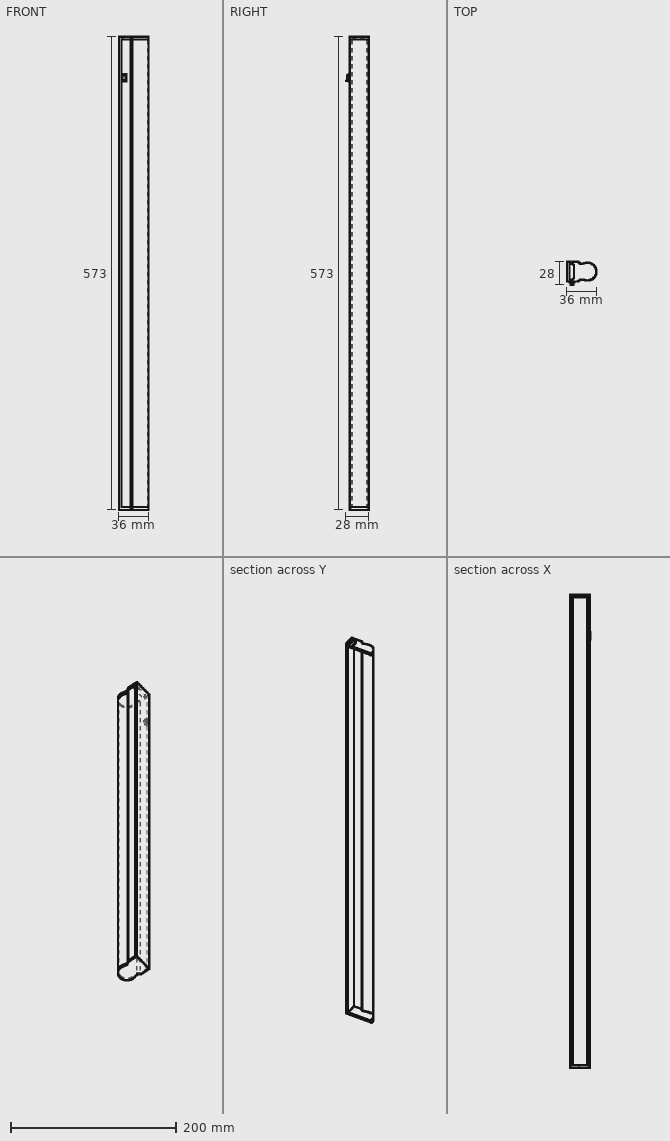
import cadquery as cq


lamp_length = 573.0
lamp_depth = 36.0
cap_thickness = 3.5

channel_width = 24.0
channel_depth = 14.0
back_wall = 3.5
side_wall = 0.6

nose_radius = 11.0
nose_center_x = lamp_depth - nose_radius
neck_start_x = 16.8
neck_half_width = 9.5
cover_wall = 1.0

socket_center_x = 6.0
socket_width_x = 5.2
socket_width_y = 19.0
socket_depth = 1.5
socket_corner = 1.7

switch_center_x = 6.3
switch_center_z = 523.0
switch_frame_width = 5.6
switch_frame_height = 9.0
switch_frame_thickness = 1.0
rocker_width = 3.6
rocker_height = 8.0
rocker_rise = 2.6
rocker_tip_rise = 4.0
rocker_tip_height = 0.4
rocker_ramp = 1.0

channel_side_y = channel_width / 2


def cover_outline(inset, start_z):
    """Cover cross-section, closed along the channel mouth, moved inwards by inset."""
    shoulder_y = channel_side_y - inset
    neck_y = neck_half_width - inset
    nose_y = nose_radius - inset
    return (
        cq.Workplane("XY", origin=(0, 0, start_z))
        .moveTo(channel_depth, -shoulder_y)
        .lineTo(neck_start_x, -neck_y)
        .lineTo(nose_center_x, -nose_y)
        .threePointArc((nose_center_x + nose_y, 0), (nose_center_x, nose_y))
        .lineTo(neck_start_x, neck_y)
        .lineTo(channel_depth, shoulder_y)
        .close()
    )


def box_from_back(start_x, end_x, width, start_z, height):
    """Block centred on Y = 0 between two X positions."""
    return (
        cq.Workplane("XY", origin=(start_x, 0, start_z))
        .box(end_x - start_x, width, height, centered=(False, True, False))
    )


def make_channel():
    """Channel block with closed ends, hollowed from the side facing the cover."""
    block = box_from_back(0, channel_depth, channel_width, 0, lamp_length)
    cavity = box_from_back(
        back_wall,
        channel_depth,
        channel_width - 2 * side_wall,
        cap_thickness,
        lamp_length - 2 * cap_thickness,
    )
    return block.cut(cavity)


def make_socket():
    """Cutter for the socket recess, with chamfered corners on the cover side."""
    return (
        cq.Workplane("XY", origin=(socket_center_x, 0, lamp_length - socket_depth))
        .box(socket_width_x, socket_width_y, socket_depth, centered=(True, True, False))
        .edges("|Z and >X")
        .chamfer(socket_corner)
    )


def make_switch():
    """Raised frame carrying a rocker that tips outwards at its lower end."""
    frame = cq.Workplane(
        "XY", origin=(switch_center_x, -channel_side_y - switch_frame_thickness / 2, switch_center_z)
    ).box(switch_frame_width, switch_frame_thickness, switch_frame_height)
    low_z = switch_center_z - rocker_height / 2
    high_z = switch_center_z + rocker_height / 2
    face_y = -channel_side_y - rocker_rise
    tip_y = -channel_side_y - rocker_tip_rise
    rocker = (
        cq.Workplane("YZ", origin=(switch_center_x, 0, 0))
        .polyline([
            (-channel_side_y, low_z),
            (tip_y, low_z),
            (tip_y, low_z + rocker_tip_height),
            (face_y, low_z + rocker_tip_height + rocker_ramp),
            (face_y, high_z - rocker_ramp),
            (-channel_side_y - switch_frame_thickness, high_z),
            (-channel_side_y, high_z),
        ])
        .close()
        .extrude(rocker_width / 2, both=True)
    )
    return frame.union(rocker)


def make_housing():
    """Channel, both end caps and the switch as one solid."""
    housing = make_channel()
    for cap_z in (0, lamp_length - cap_thickness):
        housing = housing.union(cover_outline(0, cap_z).extrude(cap_thickness))
    return housing.cut(make_socket()).union(make_switch())


def make_cover():
    """Hollow cover filling the space between the end caps."""
    cover_length = lamp_length - 2 * cap_thickness
    outside = cover_outline(0, cap_thickness).extrude(cover_length)
    inside = cover_outline(cover_wall, cap_thickness).extrude(cover_length)
    return outside.cut(inside)


housing = make_housing()
cover = make_cover()

result = cq.Compound.makeCompound([housing.val(), cover.val()])